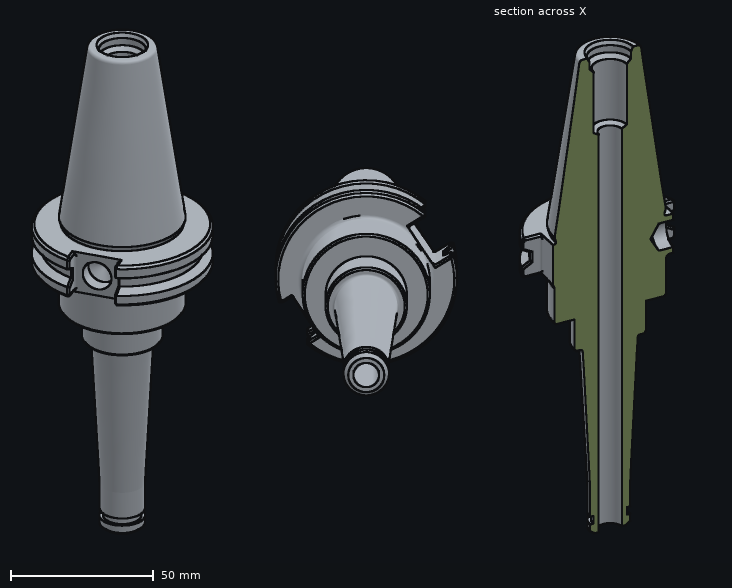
import cadquery as cq
import math

TOTAL_LENGTH = 191.2

GAUGE_DIAMETER = 44.4
GAUGE_LENGTH = 68.5
TAPER_RATIO = 7 / 24
GAUGE_Z = TOTAL_LENGTH - GAUGE_LENGTH
SMALL_END_DIAMETER = GAUGE_DIAMETER - TAPER_RATIO * GAUGE_LENGTH
SMALL_END_ROUND = 1.5

ARC_MIDPOINT = 1 - math.sqrt(0.5)

NECK_DIAMETER = 43.2
NECK_FILLET = 0.8

FLANGE_DIAMETER = 63.5
FLANGE_TOP_Z = GAUGE_Z - 2.7
FLANGE_BOTTOM_Z = GAUGE_Z - 18.5
RIM_CHAMFER = 1.0
GROOVE_CENTER_Z = GAUGE_Z - 10.7
GROOVE_FLOOR_DIAMETER = 56.8
GROOVE_FLOOR_WIDTH = 3.3
GROOVE_RIM_WIDTH = 7.0

SLOT_WIDTH = 16.8
FRONT_FLOOR_Y = 25.0
BACK_FLOOR_Y = 22.8
SLOT_CORNER_ROUND = 0.8
SLOT_EDGE_CHAMFER = 0.8

DIMPLE_DIAMETER = 10.7
DIMPLE_DEPTH = 5.7
DRILL_POINT_ANGLE = 118.0

COLLAR_DIAMETER = 44.5
COLLAR_BOTTOM_Z = 87.8
HUB_DIAMETER = 28.5
HUB_BOTTOM_Z = 75.0
STEP_CHAMFER = 0.8
COLLAR_FILLET = 1.5
HUB_FILLET = 1.0

NOSE_DIAMETER = 16.0
NOSE_TAPER_ANGLE = 3.0
NOSE_TAPER_END_Z = 17.2
TIP_GROOVE_DIAMETER = 13.5
TIP_GROOVE_TOP_Z = 7.0
TIP_GROOVE_BOTTOM_Z = 4.2
TIP_END_DIAMETER = 12.6
TIP_CHAMFER_HEIGHT = 1.3

MOUTH_DIAMETER = 18.0
THREAD_DIAMETER = 16.5
THREAD_START_DEPTH = 1.7
THREAD_END_DEPTH = 4.5
PILOT_DIAMETER = 13.0
PILOT_START_DEPTH = 6.3
PILOT_END_DEPTH = 30.6
THROUGH_DIAMETER = 9.0


def revolve(points):
    """Solid of revolution about Z from (radius, z) points."""
    return cq.Workplane("XZ").polyline(points).close().revolve(360, (0, 0), (0, 1))


def make_shank():
    gauge_radius = GAUGE_DIAMETER / 2
    neck_radius = NECK_DIAMETER / 2
    shank = (
        cq.Workplane("XZ")
        .moveTo(0, FLANGE_TOP_Z)
        .lineTo(neck_radius + NECK_FILLET, FLANGE_TOP_Z)
        .threePointArc(
            (neck_radius + NECK_FILLET * ARC_MIDPOINT, FLANGE_TOP_Z + NECK_FILLET * ARC_MIDPOINT),
            (neck_radius, FLANGE_TOP_Z + NECK_FILLET),
        )
        .lineTo(gauge_radius, GAUGE_Z)
        .lineTo(SMALL_END_DIAMETER / 2, TOTAL_LENGTH)
        .lineTo(0, TOTAL_LENGTH)
        .close()
        .revolve(360, (0, 0), (0, 1))
    )
    return shank.faces(">Z").edges().fillet(SMALL_END_ROUND)


def make_flange():
    height = FLANGE_TOP_Z - FLANGE_BOTTOM_Z
    flange = (
        cq.Workplane("XY", origin=(0, 0, FLANGE_BOTTOM_Z))
        .circle(FLANGE_DIAMETER / 2)
        .extrude(height)
        .edges()
        .chamfer(RIM_CHAMFER)
    )
    rim_radius = FLANGE_DIAMETER / 2
    floor_radius = GROOVE_FLOOR_DIAMETER / 2
    floor_half = GROOVE_FLOOR_WIDTH / 2
    rim_half = GROOVE_RIM_WIDTH / 2
    groove = revolve([
        (floor_radius, GROOVE_CENTER_Z - floor_half),
        (rim_radius, GROOVE_CENTER_Z - rim_half),
        (rim_radius, GROOVE_CENTER_Z + rim_half),
        (floor_radius, GROOVE_CENTER_Z + floor_half),
    ])
    return flange.cut(groove)


def make_slot(floor_y, side):
    """Straight cutter for a drive slot; side is +1 for the +Y slot and -1 for the -Y slot."""
    bottom_z = FLANGE_BOTTOM_Z - COLLAR_FILLET
    height = FLANGE_TOP_Z + NECK_FILLET - bottom_z
    rim_radius = FLANGE_DIAMETER / 2
    return (
        cq.Workplane("XY", origin=(0, 0, bottom_z))
        .moveTo(0, side * (floor_y + rim_radius) / 2)
        .rect(SLOT_WIDTH, rim_radius - floor_y)
        .extrude(height)
    )


def break_slot_edges(flange):
    """Chamfer the outer edges of the slot walls and round the corners at the slot floors."""
    flange_middle_z = (FLANGE_TOP_Z + FLANGE_BOTTOM_Z) / 2
    walls = [face for face in flange.faces("|X").vals() if face.geomType() == "PLANE"]
    outer_edges = []
    for wall in walls:
        innermost_y = min(abs(edge.Center().y) for edge in wall.Edges())
        outer_edges += [edge for edge in wall.Edges() if abs(edge.Center().y) > innermost_y]
    flange = flange.newObject(outer_edges).chamfer(SLOT_EDGE_CHAMFER)
    corner_x = SLOT_WIDTH / 2
    for floor_y in (-FRONT_FLOOR_Y, BACK_FLOOR_Y):
        for x in (-corner_x, corner_x):
            corner = cq.NearestToPointSelector((x, floor_y, flange_middle_z))
            flange = flange.edges("|Z").edges(corner).fillet(SLOT_CORNER_ROUND)
    return flange


def make_dimple():
    radius = DIMPLE_DIAMETER / 2
    point_depth = radius / math.tan(math.radians(DRILL_POINT_ANGLE / 2))
    return (
        cq.Workplane("XY", origin=(0, 0, GROOVE_CENTER_Z))
        .polyline([
            (0, -FRONT_FLOOR_Y),
            (radius, -FRONT_FLOOR_Y),
            (radius, -FRONT_FLOOR_Y + DIMPLE_DEPTH),
            (0, -FRONT_FLOOR_Y + DIMPLE_DEPTH + point_depth),
        ])
        .close()
        .revolve(360, (0, 0), (0, 1))
    )


def make_body():
    """Collar, hub, tapered nose and grooved tip, turned as one profile."""
    collar_radius = COLLAR_DIAMETER / 2
    hub_radius = HUB_DIAMETER / 2
    nose_radius = NOSE_DIAMETER / 2
    groove_radius = TIP_GROOVE_DIAMETER / 2
    nose_top_z = HUB_BOTTOM_Z - HUB_FILLET
    nose_rise = nose_top_z - NOSE_TAPER_END_Z
    nose_top_radius = nose_radius + nose_rise * math.tan(math.radians(NOSE_TAPER_ANGLE))
    hub_arc = HUB_FILLET * ARC_MIDPOINT
    collar_arc = COLLAR_FILLET * ARC_MIDPOINT
    return (
        cq.Workplane("XZ")
        .moveTo(0, 0)
        .lineTo(TIP_END_DIAMETER / 2, 0)
        .lineTo(nose_radius, TIP_CHAMFER_HEIGHT)
        .lineTo(nose_radius, TIP_GROOVE_BOTTOM_Z)
        .lineTo(groove_radius, TIP_GROOVE_BOTTOM_Z)
        .lineTo(groove_radius, TIP_GROOVE_TOP_Z)
        .lineTo(nose_radius, TIP_GROOVE_TOP_Z)
        .lineTo(nose_radius, NOSE_TAPER_END_Z)
        .lineTo(nose_top_radius, nose_top_z)
        .threePointArc(
            (nose_top_radius + hub_arc, HUB_BOTTOM_Z - hub_arc),
            (nose_top_radius + HUB_FILLET, HUB_BOTTOM_Z),
        )
        .lineTo(hub_radius - STEP_CHAMFER, HUB_BOTTOM_Z)
        .lineTo(hub_radius, HUB_BOTTOM_Z + STEP_CHAMFER)
        .lineTo(hub_radius, COLLAR_BOTTOM_Z)
        .lineTo(collar_radius - STEP_CHAMFER, COLLAR_BOTTOM_Z)
        .lineTo(collar_radius, COLLAR_BOTTOM_Z + STEP_CHAMFER)
        .lineTo(collar_radius, FLANGE_BOTTOM_Z - COLLAR_FILLET)
        .threePointArc(
            (collar_radius + collar_arc, FLANGE_BOTTOM_Z - collar_arc),
            (collar_radius + COLLAR_FILLET, FLANGE_BOTTOM_Z),
        )
        .lineTo(0, FLANGE_BOTTOM_Z)
        .close()
        .revolve(360, (0, 0), (0, 1))
    )


def make_bore():
    thread_radius = THREAD_DIAMETER / 2
    pilot_radius = PILOT_DIAMETER / 2
    through_radius = THROUGH_DIAMETER / 2
    point_rise = (pilot_radius - through_radius) / math.tan(math.radians(DRILL_POINT_ANGLE / 2))
    return revolve([
        (0, 0),
        (through_radius, 0),
        (through_radius, TOTAL_LENGTH - PILOT_END_DEPTH - point_rise),
        (pilot_radius, TOTAL_LENGTH - PILOT_END_DEPTH),
        (pilot_radius, TOTAL_LENGTH - PILOT_START_DEPTH),
        (thread_radius, TOTAL_LENGTH - THREAD_END_DEPTH),
        (thread_radius, TOTAL_LENGTH - THREAD_START_DEPTH),
        (MOUTH_DIAMETER / 2, TOTAL_LENGTH),
        (0, TOTAL_LENGTH),
    ])


front_slot = make_slot(FRONT_FLOOR_Y, -1)
back_slot = make_slot(BACK_FLOOR_Y, 1)
flange = break_slot_edges(make_flange().cut(front_slot).cut(back_slot))

body = make_body().cut(back_slot)

result = make_shank().union(flange).union(body)
result = result.cut(make_dimple()).cut(make_bore())